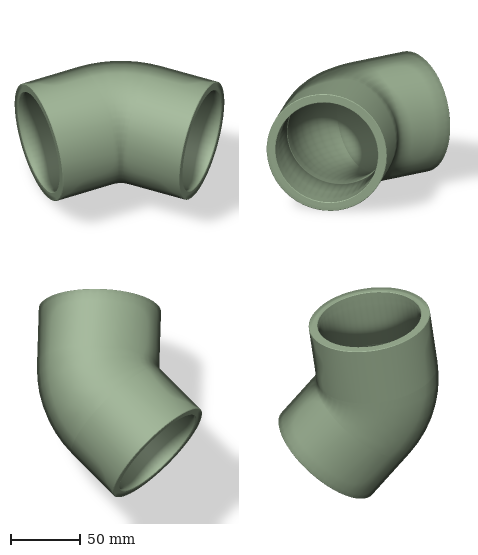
import cadquery as cq
import math

outer_diameter = 88.0
socket_diameter = 75.0
bend_bore_diameter = 73.8
bend_angle = 45.0
bend_radius = 47.5
end_length = 43.9
rim_chamfer = 0.4

turn = math.radians(bend_angle)
inlet_face = cq.Plane(origin=(0, -end_length, 0), xDir=(1, 0, 0), normal=(0, 1, 0))
bend_start = cq.Plane(origin=(0, 0, 0), xDir=(1, 0, 0), normal=(0, 1, 0))
bend_end = cq.Plane(
    origin=(bend_radius * (1 - math.cos(turn)), bend_radius * math.sin(turn), 0),
    xDir=(math.cos(turn), -math.sin(turn), 0),
    normal=(math.sin(turn), math.cos(turn), 0),
)


def elbow_solid(end_diameter, bend_diameter):
    """Solid round bar following the elbow's centreline."""
    inlet = cq.Workplane(inlet_face).circle(end_diameter / 2).extrude(end_length)
    bend = (
        cq.Workplane(bend_start)
        .circle(bend_diameter / 2)
        .revolve(bend_angle, (bend_radius, 0, 0), (bend_radius, 1, 0))
    )
    outlet = cq.Workplane(bend_end).circle(end_diameter / 2).extrude(end_length)
    return inlet.union(bend).union(outlet)


body = elbow_solid(outer_diameter, outer_diameter)
passage = elbow_solid(socket_diameter, bend_bore_diameter)
elbow = body.cut(passage)

for end_face in ("<Y", cq.selectors.DirectionMinMaxSelector(bend_end.zDir, True)):
    elbow = elbow.faces(end_face).edges().chamfer(rim_chamfer)

result = elbow